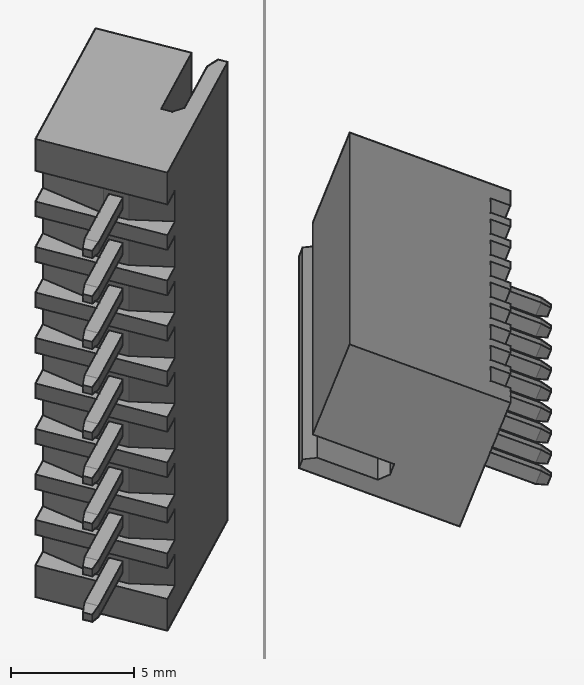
import cadquery as cq

housing_width = 5.73
housing_depth = 7.0
housing_height = 25.58

pin_count = 9
pin_end_margin = 2.63
pin_x = 3.38
pin_size = 0.61
pin_tip_size = 0.4
pin_tip_length = 0.49
pin_length = 3.0

pocket_height = 1.71
pocket_edge_depth = 0.87
land_depth = 0.3
land_width = 1.1

slot_start_x = 4.17
slot_end_x = 5.05
slot_depth = 3.55
slot_corner_chamfer = 0.38
lead_in_width = 0.28
lead_in_depth = 0.54

pin_pitch = (housing_height - 2 * pin_end_margin) / (pin_count - 1)
pin_heights = [pin_end_margin + i * pin_pitch for i in range(pin_count)]


def make_housing():
    return cq.Workplane("XY").box(housing_width, housing_depth, housing_height, centered=False)


def make_latch_slot():
    floor_y = housing_depth - slot_depth
    outline = [
        (slot_start_x, housing_depth),
        (slot_start_x, floor_y),
        (slot_end_x - slot_corner_chamfer, floor_y),
        (slot_end_x, floor_y + slot_corner_chamfer),
        (slot_end_x, housing_depth - lead_in_depth),
        (slot_end_x + lead_in_width, housing_depth),
    ]
    return cq.Workplane("XY").polyline(outline).close().extrude(housing_height)


def make_pocket(z):
    outline = [
        (0, 0),
        (0, pocket_edge_depth),
        (pin_x - land_width / 2, land_depth),
        (pin_x + land_width / 2, land_depth),
        (housing_width, pocket_edge_depth),
        (housing_width, 0),
    ]
    base = cq.Workplane("XY").workplane(offset=z - pocket_height / 2)
    return base.polyline(outline).close().extrude(pocket_height)


def make_pin(z):
    """Square pin with a tapered tip, rooted on the pocket land and pointing to -Y."""
    shank_length = pin_length - pin_tip_length
    root = cq.Workplane("XZ", origin=(pin_x, land_depth, z))
    shank = root.rect(pin_size, pin_size).extrude(land_depth + shank_length)
    tip = (
        cq.Workplane("XZ", origin=(pin_x, -shank_length, z))
        .rect(pin_size, pin_size)
        .workplane(offset=pin_tip_length)
        .rect(pin_tip_size, pin_tip_size)
        .loft(ruled=True)
    )
    return shank.union(tip)


result = make_housing().cut(make_latch_slot())
for pin_z in pin_heights:
    result = result.cut(make_pocket(pin_z))
    result = result.union(make_pin(pin_z))